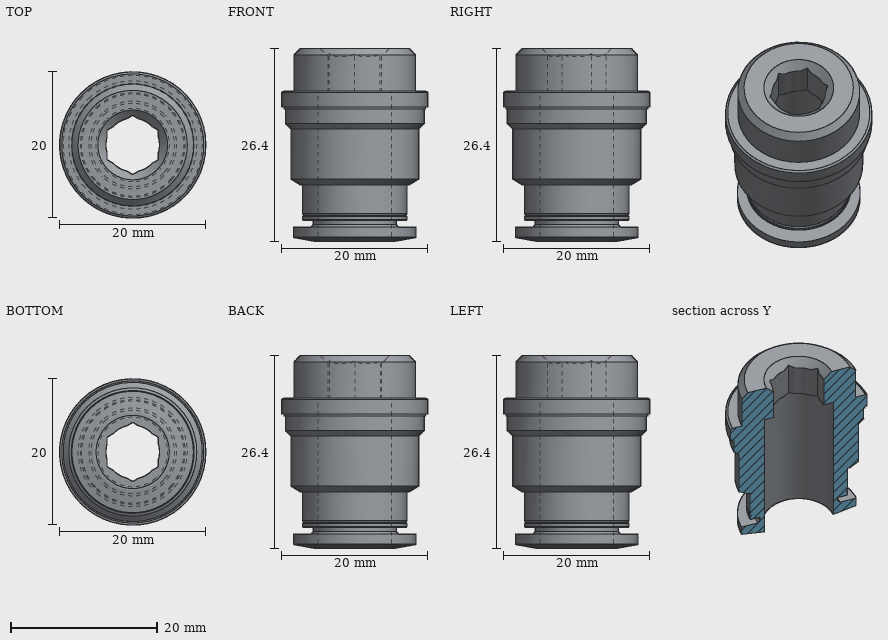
import cadquery as cq

height = 26.4
head_chamfer_height = 0.9
flange_top = 20.57
flange_bottom = 18.37
lip_bottom = 18.1
collar_bottom = 16.13
body_top = 15.4
body_chamfer_top = 8.53
body_bottom = 7.75
stem_bottom = 3.85
groove_middle = 3.6
ring_top = 3.4
ring_bottom = 2.85
flare_top = 2.32
foot_top = 1.98
foot_edge = 0.63
foot_cone_top = 0.53

flange_bevel = 0.18
ring_bevel = 0.15

head_diameter = 16.65
head_top_diameter = 14.92
flange_diameter = 20.0
lip_diameter = 19.4
collar_diameter = 19
body_diameter = 17.5
body_end_diameter = 14.92
stem_diameter = 14.3
groove_diameter = 13.97
neck_diameter = 11.4
flare_diameter = 12.0
foot_diameter = 16.8
foot_cone_diameter = 16.58
foot_base_diameter = 10.7

hex_across_flats = 6.97
bore_diameter = 7.29
countersink_diameter = 9.53
countersink_depth = (countersink_diameter - bore_diameter) / 2
tube_bore_diameter = 10.0
socket_bottom = flange_top


def revolved_body():
    """Turn the stepped outside shape from (diameter, height) pairs."""
    steps = [
        (0, 0),
        (foot_base_diameter, 0),
        (foot_cone_diameter, foot_cone_top),
        (foot_diameter, foot_edge),
        (foot_diameter, foot_top),
        (flare_diameter, foot_top),
        (neck_diameter, flare_top),
        (neck_diameter, ring_bottom),
        (stem_diameter - 2 * ring_bevel, ring_bottom),
        (stem_diameter, ring_bottom + ring_bevel),
        (stem_diameter, ring_top),
        (groove_diameter, groove_middle),
        (stem_diameter, stem_bottom),
        (stem_diameter, body_bottom),
        (body_end_diameter, body_bottom),
        (body_diameter, body_chamfer_top),
        (body_diameter, body_top),
        (collar_diameter, collar_bottom),
        (collar_diameter, lip_bottom),
        (lip_diameter, lip_bottom),
        (lip_diameter, flange_bottom),
        (flange_diameter, flange_bottom),
        (flange_diameter, flange_top - flange_bevel),
        (lip_diameter, flange_top),
        (head_diameter, flange_top),
        (head_diameter, height - head_chamfer_height),
        (head_top_diameter, height),
        (0, height),
    ]
    outline = [(diameter / 2, z) for diameter, z in steps]
    return cq.Workplane("XZ").polyline(outline).close().revolve(360, (0, 0, 0), (0, 1, 0))


def hex_socket():
    """Hexagon with corners on the Y axis, its flats relieved by a slightly wider round bore."""
    hexagon = (
        cq.Workplane("XY")
        .polygon(6, hex_across_flats, circumscribed=True)
        .extrude(height)
    )
    bore = cq.Workplane("XY").circle(bore_diameter / 2).extrude(height)
    return hexagon.union(bore)


def tube_bore():
    """Wide round bore from the foot up to the underside of the socket."""
    return cq.Workplane("XY").circle(tube_bore_diameter / 2).extrude(socket_bottom)


def countersink():
    """45 degree conical lead-in that narrows to the bore below the top face."""
    outline = [
        (0, height),
        (countersink_diameter / 2, height),
        (bore_diameter / 2, height - countersink_depth),
        (0, height - countersink_depth),
    ]
    return cq.Workplane("XZ").polyline(outline).close().revolve(360, (0, 0, 0), (0, 1, 0))


result = revolved_body().cut(hex_socket()).cut(tube_bore()).cut(countersink())